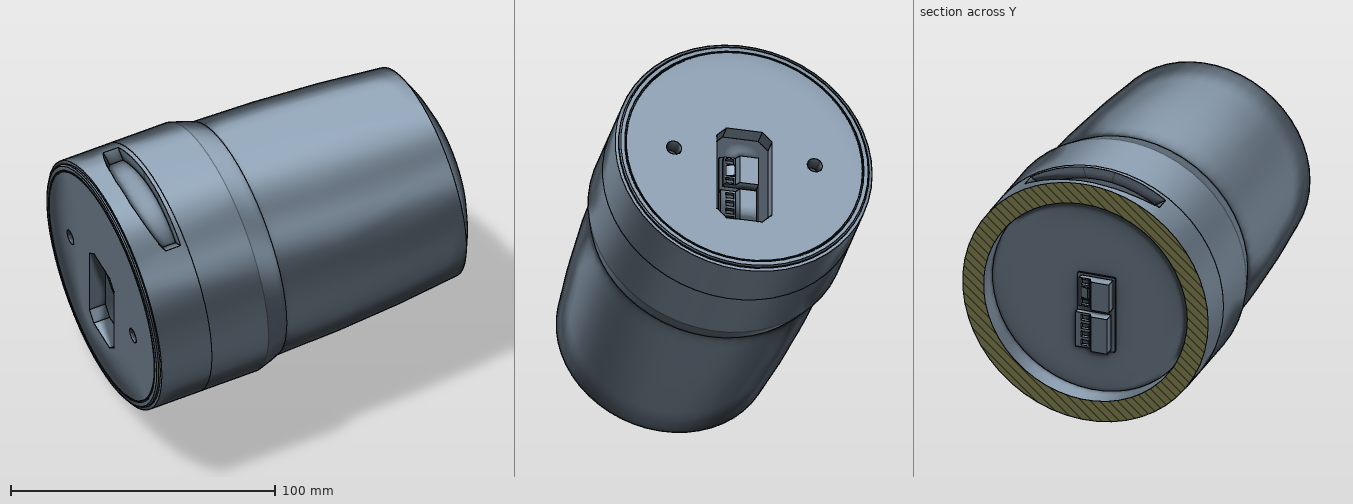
import cadquery as cq
import math


total_length = 145.0
body_radius = 50.0

joint_y = 22.3
skirt_end_y = 46.1
shoulder_end_y = 55.2
shoulder_radius = 47.0
shoulder_bulge = 0.22
dome_start_y = 133.1
dome_radius = 41.9
side_bulge = 1.0

seat_height = 1.3
seat_radius = 48.7
seat_chamfer = 0.6
groove_radius = 46.5
groove_width = 0.6
groove_depth = 0.7
screw_spacing = 54.8
screw_diameter = 5.8

plate_thickness = 6.7
opening_width = 21.5
opening_height = 40.0
opening_chamfer = 3.8
opening_center_z = -8.3
chamber_radius = 41.3
chamber_floor_y = 15.7

slot_floor_radius = 45.4
slot_apex_z = 24.6
slot_back_y = 20.7
slot_back_end_y = 20.0
slot_front_y = 9.0
slot_front_end_y = 13.8
slot_front_draft = 0.2
slot_end_angle = 57.8
slot_flat_angle = 14.5
slot_rim_z = 41.9
slot_top_z = 52.2

carrier_left, carrier_right = -6.4, 8.8
carrier_bottom, carrier_top = -23.6, 7.8
carrier_corner = 0.6
carrier_height = 0.7
block_front_y = 10.6
ledge_depth = 2.2
ramp_left, ramp_right = -0.5, 0.7
power_block = {"left": -5.0, "right": 8.0, "bottom": -5.1, "top": 6.8}
signal_block = {"left": -6.4, "right": 7.2, "bottom": -22.6, "top": -8.0}
wire_hole_x = -2.6
wire_hole_width = 3.2
wire_hole_height = 2.3
wire_hole_depth = 1.5
power_hole_pitch = 8.4
signal_hole_pitch = 3.5
latch_height = 4.6
latch_rise = 1.2


def facing_plane(y):
    """Plane at the given Y whose local axes are X and Z and whose normal is +Y."""
    return cq.Plane(origin=(0, y, 0), xDir=(1, 0, 0), normal=(0, 1, 0))


def box_between(left, right, start_y, end_y, bottom, top):
    size = (right - left, end_y - start_y, top - bottom)
    return cq.Workplane("XY").box(*size, centered=False).translate((left, start_y, bottom))


def cylinder_along_y(radius, start_y, end_y):
    return cq.Workplane(facing_plane(start_y)).circle(radius).extrude(end_y - start_y)


def make_globe():
    shoulder_middle = (
        (body_radius + shoulder_radius) / 2 + shoulder_bulge,
        (skirt_end_y + shoulder_end_y) / 2,
    )
    side_middle = (
        (shoulder_radius + dome_radius) / 2 + side_bulge,
        (shoulder_end_y + dome_start_y) / 2,
    )
    dome_rise = total_length - dome_start_y
    sphere_radius = (dome_radius**2 + dome_rise**2) / (2 * dome_rise)
    half_rim = dome_radius / 2
    dome_middle = (
        half_rim,
        total_length - sphere_radius + math.sqrt(sphere_radius**2 - half_rim**2),
    )
    return (
        cq.Workplane("XY")
        .moveTo(0, joint_y)
        .lineTo(body_radius, joint_y)
        .lineTo(body_radius, skirt_end_y)
        .threePointArc(shoulder_middle, (shoulder_radius, shoulder_end_y))
        .threePointArc(side_middle, (dome_radius, dome_start_y))
        .threePointArc(dome_middle, (0, total_length))
        .close()
        .revolve(360, (0, 0, 0), (0, 1, 0))
    )


def base_blank():
    """Drum with a chamfered seat and a fine groove around the mounting face."""
    drum = cylinder_along_y(body_radius, seat_height, joint_y)
    seat = cylinder_along_y(seat_radius, 0, seat_height).faces("<Y").chamfer(seat_chamfer)
    groove = cylinder_along_y(groove_radius, 0, groove_depth).cut(
        cylinder_along_y(groove_radius - groove_width, 0, groove_depth)
    )
    return drum.union(seat).cut(groove)


def screw_holes():
    holes = cq.Workplane("XY")
    for side in (-1, 1):
        hole = cylinder_along_y(screw_diameter / 2, 0, plate_thickness)
        holes = holes.add(hole.translate((side * screw_spacing / 2, 0, 0)))
    return holes.combine()


def wiring_space():
    """Chamfered opening through the mounting plate and the round chamber behind it."""
    opening = box_between(
        -opening_width / 2,
        opening_width / 2,
        0,
        plate_thickness,
        opening_center_z - opening_height / 2,
        opening_center_z + opening_height / 2,
    ).edges("|Y").chamfer(opening_chamfer)
    return opening.union(cylinder_along_y(chamber_radius, plate_thickness, chamber_floor_y))


def slot_outline(z):
    """Outline of the sound slot at height z, narrowing towards the apex line."""
    half_width = (z - slot_apex_z) * math.tan(math.radians(slot_end_angle))
    half_flat = (z - slot_apex_z) * math.tan(math.radians(slot_flat_angle))
    front_end_y = slot_front_end_y + slot_front_draft * (slot_rim_z - z)
    corners = [
        (half_flat, slot_front_y),
        (half_width, front_end_y),
        (half_width, slot_back_end_y),
        (half_flat, slot_back_y),
    ]
    corners += [(-x, y) for x, y in reversed(corners)]
    return cq.Wire.makePolygon([cq.Vector(x, y, z) for x, y in corners], close=True)


def sound_slot():
    bottom_z = (slot_floor_radius + slot_apex_z) / 2
    wedge = cq.Solid.makeLoft([slot_outline(bottom_z), slot_outline(slot_top_z)], True)
    return cq.Workplane(wedge).cut(cylinder_along_y(slot_floor_radius, 0, joint_y))


def terminal_block(left, right, bottom, top, hole_pitch, hole_count):
    """Block with a ramp down to a ledge on its -X side and wire holes in the ledge."""
    ledge_y = block_front_y + ledge_depth
    block = (
        cq.Workplane("XY")
        .polyline([
            (left, chamber_floor_y),
            (left, ledge_y),
            (ramp_left, ledge_y),
            (ramp_right, block_front_y),
            (right, block_front_y),
            (right, chamber_floor_y),
        ])
        .close()
        .extrude(top - bottom)
        .translate((0, 0, bottom))
    )
    first_z = (bottom + top) / 2 - hole_pitch * (hole_count - 1) / 2
    for index in range(hole_count):
        hole_z = first_z + index * hole_pitch
        block = block.cut(box_between(
            wire_hole_x - wire_hole_width / 2,
            wire_hole_x + wire_hole_width / 2,
            ledge_y,
            ledge_y + wire_hole_depth,
            hole_z - wire_hole_height / 2,
            hole_z + wire_hole_height / 2,
        ))
    return block


def power_latch():
    """Sloped latch between the two wire holes of the power block."""
    ledge_y = block_front_y + ledge_depth
    center_z = (power_block["bottom"] + power_block["top"]) / 2
    return (
        cq.Workplane("XY")
        .polyline([
            (wire_hole_x - wire_hole_width / 2, ledge_y),
            (wire_hole_x + wire_hole_width / 2, ledge_y),
            (wire_hole_x + wire_hole_width / 2, ledge_y - latch_rise),
        ])
        .close()
        .extrude(latch_height)
        .translate((0, 0, center_z - latch_height / 2))
    )


def terminals():
    carrier = box_between(
        carrier_left,
        carrier_right,
        chamber_floor_y - carrier_height,
        chamber_floor_y,
        carrier_bottom,
        carrier_top,
    ).edges("|Y").fillet(carrier_corner)
    power = terminal_block(**power_block, hole_pitch=power_hole_pitch, hole_count=2)
    signal = terminal_block(**signal_block, hole_pitch=signal_hole_pitch, hole_count=4)
    return carrier.union(power).union(power_latch()).union(signal)


def make_base():
    shell = base_blank().cut(screw_holes()).cut(wiring_space()).cut(sound_slot())
    return shell.union(terminals())


globe = make_globe()
base = make_base()

result = cq.Compound.makeCompound([globe.val(), base.val()])